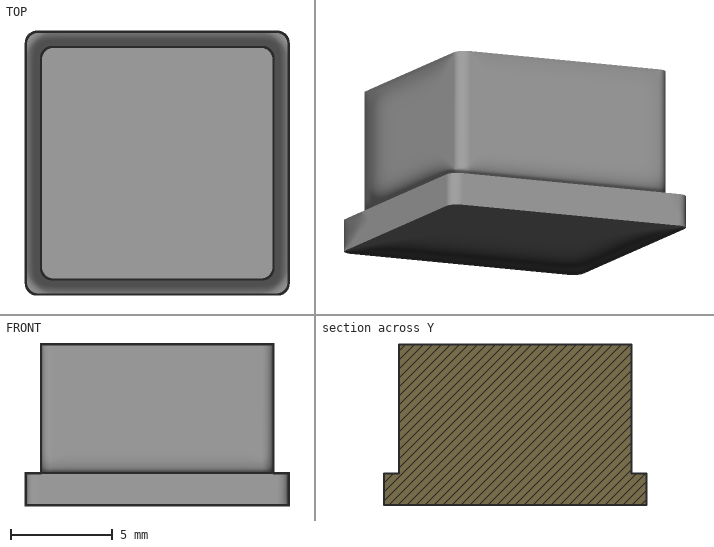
import cadquery as cq

total_height = 7.94
flange_height = 1.59
flange_side = 12.95
ledge_width = 0.75
corner_diameter = 1.18

corner_radius = corner_diameter / 2
cap_side = flange_side - 2 * ledge_width
cap_height = total_height - flange_height


def rounded_block(side, height, base_z):
    """Square block, centred on Z, with rounded vertical edges."""
    block = cq.Workplane("XY").workplane(offset=base_z).rect(side, side).extrude(height)
    return block.edges("|Z").fillet(corner_radius)


flange = rounded_block(flange_side, flange_height, 0)
cap = rounded_block(cap_side, cap_height, flange_height)

result = flange.union(cap)